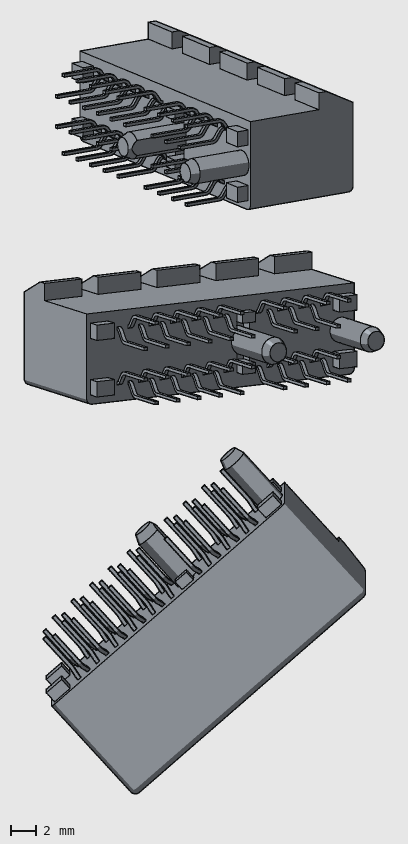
import cadquery as cq
import math

body_length = 25.0
body_depth = 10.0
body_height = 7.4
edge_radius = 0.5

tooth_height = 1.4
tooth_depth = 3.5
tooth_slope_depth = 2.8
tooth_pitch = 5.5
tooth_gap = 1.5
gap_count = 4

center_height = 3.7

standoff_width = 1.65
standoff_height = 1.25
standoff_depth = 1.0
standoff_spacing_x = 22.65
standoff_spacing_z = 4.6

peg_length = 5.4
peg_taper_length = 0.75
peg_tip_radius = 0.78
key_peg_x = 2.12
key_peg_radius = 1.1
key_peg_flat = 0.9
end_peg_x = 11.25
end_peg_radius = 1.02

pad_width = 1.2
pad_height = 0.85
pad_depth = 0.85
pad_spacing_z = 4.15

recess_depth = 1.0

pin_width = 0.32
pin_thickness = 0.25
pin_length = 4.18
pin_pitch = 1.0
pin_positions = 20
empty_positions = (11, 12)
pin_row_spacing = 4.5
pin_offset = 1.0
pin_root_depth = 0.25
pin_bend_start = 0.15
pin_bend_end = 0.85
pin_bend_radius = 0.52


def box_on_front(x, z, width, depth, height):
    """Box centred on (x, z), standing out of the front face."""
    return cq.Workplane("XY").box(width, depth, height).translate((x, -depth / 2, z))


def make_housing():
    full_height = body_height + tooth_height
    tooth_front_y = body_depth - tooth_depth
    block = cq.Workplane("XY").box(body_length, body_depth, full_height, centered=(True, False, False))
    block = block.edges("|Z and >Y").fillet(edge_radius)
    block = block.faces("<Z").edges("not <Y").fillet(edge_radius)

    profile = (
        cq.Workplane("YZ")
        .polyline([
            (0, 0),
            (0, body_height),
            (tooth_front_y, body_height),
            (tooth_front_y, full_height),
            (body_depth - tooth_slope_depth, full_height),
            (body_depth, body_height),
            (body_depth, 0),
        ])
        .close()
        .extrude(body_length / 2, both=True)
    )
    housing = block.intersect(profile)

    gap = cq.Workplane("XY").box(tooth_gap, tooth_depth, tooth_height, centered=(True, False, False))
    for i in range(gap_count):
        gap_x = (i - (gap_count - 1) / 2) * tooth_pitch
        housing = housing.cut(gap.translate((gap_x, tooth_front_y, body_height)))
    return housing


def make_peg(x, radius, root_depth=0.0):
    """Round peg with a conical tip, pointing towards -Y, rooted root_depth inside the front face."""
    shank_length = peg_length - peg_taper_length
    profile = (
        cq.Workplane("XY")
        .moveTo(0, root_depth)
        .lineTo(radius, root_depth)
        .lineTo(radius, -shank_length)
        .lineTo(peg_tip_radius, -peg_length)
        .lineTo(0, -peg_length)
        .close()
    )
    return profile.revolve(360, (0, 0, 0), (0, 1, 0)).translate((x, 0, center_height))


def make_key_peg():
    """Peg with its +X side cut flat."""
    peg = make_peg(key_peg_x, key_peg_radius, recess_depth)
    cutter_size = 2 * key_peg_radius
    cutter = cq.Workplane("XY").box(cutter_size, 2 * peg_length, cutter_size, centered=(False, True, True))
    return peg.cut(cutter.translate((key_peg_x + key_peg_flat, 0, center_height)))


def make_pin(direction):
    """Pin rooted at the origin whose outer run is shifted up (+1) or down (-1)."""
    slope = math.atan2(pin_offset, pin_bend_end - pin_bend_start)
    tangent = pin_bend_radius * math.tan(slope / 2)
    along_y = tangent * math.cos(slope)
    along_z = tangent * math.sin(slope)

    def point(distance, height):
        return (-distance, direction * height)

    path = (
        cq.Workplane("YZ")
        .moveTo(*point(-pin_root_depth, 0))
        .lineTo(*point(pin_bend_start - tangent, 0))
        .tangentArcPoint(point(pin_bend_start + along_y, along_z), relative=False)
        .lineTo(*point(pin_bend_end - along_y, pin_offset - along_z))
        .tangentArcPoint(point(pin_bend_end + tangent, pin_offset), relative=False)
        .lineTo(*point(pin_length, pin_offset))
    )
    section = cq.Workplane("XZ", origin=(0, pin_root_depth, 0)).rect(pin_width, pin_thickness)
    return section.sweep(path)


def make_recess():
    """Pocket spanning the space between the two pads."""
    height = pad_spacing_z - pad_height
    recess = cq.Workplane("XY").box(pad_width, recess_depth, height, centered=(True, False, True))
    return recess.translate((key_peg_x, 0, center_height))


result = make_housing().cut(make_recess())
result = result.union(make_key_peg())
result = result.union(make_peg(end_peg_x, end_peg_radius))

for side_z in (-1, 1):
    standoff_z = center_height + side_z * standoff_spacing_z / 2
    for side_x in (-1, 1):
        standoff_x = side_x * standoff_spacing_x / 2
        standoff = box_on_front(standoff_x, standoff_z, standoff_width, standoff_depth, standoff_height)
        result = result.union(standoff)
    pad_z = center_height + side_z * pad_spacing_z / 2
    result = result.union(box_on_front(key_peg_x, pad_z, pad_width, pad_depth, pad_height))

pin_up = make_pin(1)
pin_down = make_pin(-1)
upper_row_z = center_height + pin_row_spacing / 2
lower_row_z = center_height - pin_row_spacing / 2
for i in range(pin_positions):
    if i in empty_positions:
        continue
    pin_x = (i - (pin_positions - 1) / 2) * pin_pitch
    upper_pin, lower_pin = (pin_down, pin_up) if i % 2 == 0 else (pin_up, pin_down)
    result = result.union(upper_pin.translate((pin_x, 0, upper_row_z)))
    result = result.union(lower_pin.translate((pin_x, 0, lower_row_z)))